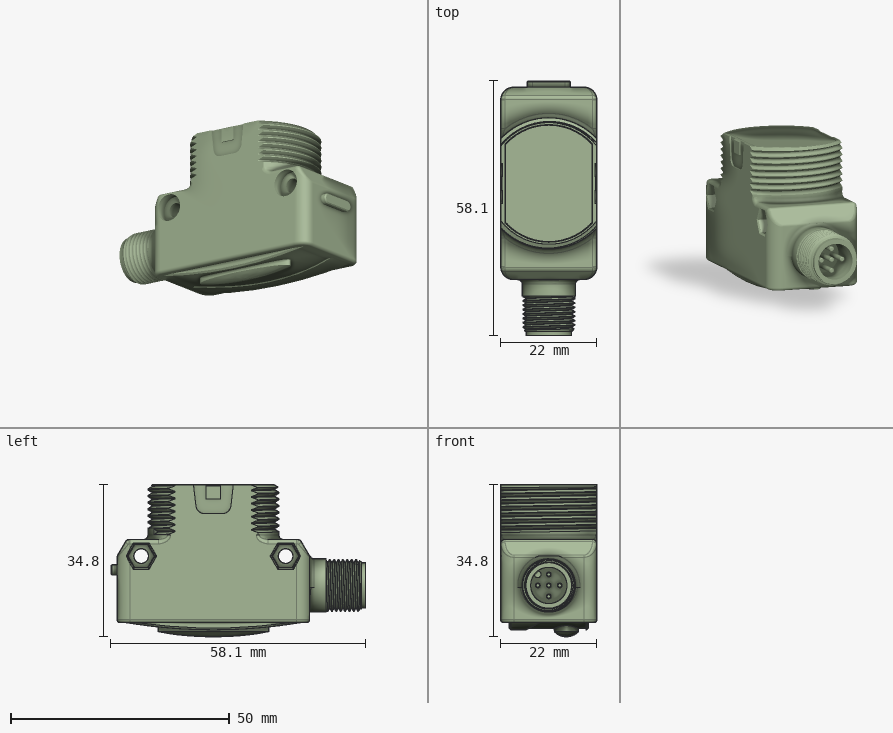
import cadquery as cq
import math


WIDTH = 22.0
LENGTH = 44.0
SHOULDER_Z = 19.0
CORNER_RADIUS = 3.0
EDGE_RADIUS = 1.0
BOTTOM_EDGE_RADIUS = 0.7
BEVEL_RUN = 2.2
BEVEL_DROP = BEVEL_RUN * math.tan(math.radians(60))

BARREL_RADIUS = 15.0
BARREL_TOP_Z = 31.5
NECK_RADIUS = 1.0
NECK_TOP_Z = SHOULDER_Z + NECK_RADIUS
BARREL_PITCH = 1.5
BARREL_THREAD_DEPTH = 0.95
BARREL_THREAD_START_Z = 20.77
BARREL_THREAD_START_ANGLE = 115.0
BARREL_CHAMFER_HEIGHT = 0.7
BARREL_CHAMFER_RUN = 1.1

MOUTH_SHARE = 0.88
ROOT_SHARE = 0.12
THREAD_CLEARANCE = 0.1

WINDOW_RADIUS = 13.45
WINDOW_WIDTH = 20.0
WINDOW_GROOVE = 0.15

RECESS_TOP_WIDTH = 9.1
RECESS_BOTTOM_WIDTH = 7.6
RECESS_HEIGHT = 6.6
RECESS_CORNER = 2.0
RECESS_DEPTH = 0.4
TAB_WIDTH = 3.3
TAB_HEIGHT = 3.3
TAB_THICKNESS = 0.35
TAB_BEVEL = 0.3

HOLE_Y = 16.5
HOLE_Z = 15.2
HOLE_DIAMETER = 3.3
NUT_MOUTH_FLATS = 6.1
NUT_FLATS = 5.5
NUT_FLOOR_FLATS = 5.2
NUT_BEVEL_DEPTH = 0.3
NUT_DEPTH = 2.5
HEAD_DEPTH = 2.5
HEAD_DIAMETER = 6.3

PLUG_Z = 8.5
PLUG_TIP_Y = -34.75
PLUG_COLLAR_RADIUS = 6.1
PLUG_COLLAR_END_Y = -25.75
PLUG_RADIUS = 5.95
PLUG_PITCH = 1.0
PLUG_THREAD_DEPTH = 0.7
PLUG_THREAD_END_Y = -33.85
PLUG_THREAD_PHASE = 0.08
PLUG_LEAD_IN_LENGTH = 0.9
PLUG_LEAD_IN_RUN = 0.6
PLUG_NOSE_RADIUS = 5.2
PLUG_FLARE = 1.0
PLUG_LOWER_FLARE = 0.55
PLUG_FLARE_BOTTOM_Z = 8.0
BORE_RADIUS = 4.15
BORE_DEPTH = 9.0
KEY_RADIUS = 0.75
KEY_OFFSET = 2.52
KEY_TIP_Y = -30.0
PIN_RADIUS = 0.55
PIN_OFFSET = 2.5
PIN_TIP_Y = -32.5
PIN_CHAMFER = 0.15

BUTTON_LENGTH = 9.9
BUTTON_HEIGHT = 2.4
BUTTON_Z = 12.05
BUTTON_END_Y = 23.38
BUTTON_EDGE = 0.25

COVER_WIDTH = 18.1
COVER_HALF_LENGTH = 20.0
COVER_SAG = 1.65
COVER_EDGE = 0.4
COVER_STEP = 0.3
COVER_RIM = 0.6
STEP_MID_X = -5.2
STEP_END_X = -2.0

LENS_X = 4.0
LENS_WIDTH = 5.56
LENS_LENGTH = 25.3
LENS_RIM_Z = -2.05
LENS_BOTTOM_Z = -3.25
DOME_SAG = LENS_RIM_Z - LENS_BOTTOM_Z
DOME_RADIUS = ((LENS_WIDTH / 2) ** 2 + DOME_SAG ** 2) / (2 * DOME_SAG)

OVERLAP = 0.5
NECK_MARGIN = 0.001


def slab(width, bottom, top):
    """Tall block centred on the barrel axis and wide along Y."""
    return cq.Workplane("XY").workplane(offset=bottom).rect(width, 2 * LENGTH).extrude(top - bottom)


def disc(radius, bottom, top):
    return cq.Workplane("XY").workplane(offset=bottom).circle(radius).extrude(top - bottom)


def thread_groove(radius, depth, pitch, length):
    """Right-handed V groove of a thread around Z, starting at angle 0 and Z = 0."""
    half_mouth = MOUTH_SHARE * pitch / 2
    half_root = ROOT_SHARE * pitch / 2
    bottom = radius - depth
    outside = radius + THREAD_CLEARANCE
    half_outside = half_mouth + (half_mouth - half_root) * THREAD_CLEARANCE / depth
    profile = (
        cq.Workplane("XZ")
        .polyline([
            (bottom, half_root),
            (outside, half_outside),
            (outside, -half_outside),
            (bottom, -half_root),
        ])
        .close()
    )
    path = cq.Wire.makeHelix(pitch, length, radius)
    return profile.sweep(cq.Workplane(obj=path), isFrenet=True)


def make_housing():
    """Bevelled box with the lower end of the barrel blended into its shoulder."""
    half = LENGTH / 2
    bevel_z = SHOULDER_Z - BEVEL_DROP
    shell = (
        cq.Workplane("YZ")
        .polyline([
            (-half, 0),
            (half, 0),
            (half, bevel_z),
            (half - BEVEL_RUN, SHOULDER_Z),
            (BEVEL_RUN - half, SHOULDER_Z),
            (-half, bevel_z),
        ])
        .close()
        .extrude(WIDTH / 2, both=True)
        .edges("|Z").fillet(CORNER_RADIUS)
    )
    neck = disc(BARREL_RADIUS, SHOULDER_Z - OVERLAP, NECK_TOP_Z + NECK_MARGIN)
    body = shell.union(neck.intersect(slab(WIDTH, 0, BARREL_TOP_Z))).clean()

    half_width = WIDTH / 2
    joint_box = cq.selectors.BoxSelector(
        (1 - half_width, -BARREL_RADIUS - 1, SHOULDER_Z - OVERLAP),
        (half_width - 1, BARREL_RADIUS + 1, SHOULDER_Z + OVERLAP),
    )
    upper_box = cq.selectors.BoxSelector(
        (-WIDTH, -LENGTH, bevel_z - OVERLAP),
        (WIDTH, LENGTH, SHOULDER_Z + OVERLAP),
    )
    body = body.edges(joint_box).fillet(NECK_RADIUS)
    body = body.edges(upper_box - joint_box).fillet(EDGE_RADIUS)
    return body.faces("<Z").edges().fillet(BOTTOM_EDGE_RADIUS)


def make_barrel():
    """Threaded barrel cut by the two flats, with its window groove and flat recesses."""
    envelope = disc(BARREL_RADIUS, NECK_TOP_Z, BARREL_TOP_Z)
    envelope = envelope.faces(">Z").chamfer(BARREL_CHAMFER_HEIGHT, BARREL_CHAMFER_RUN)

    groove_end_z = BARREL_TOP_Z + BARREL_PITCH
    blank = disc(BARREL_RADIUS, NECK_TOP_Z, groove_end_z + BARREL_PITCH)
    groove = thread_groove(
        BARREL_RADIUS, BARREL_THREAD_DEPTH, BARREL_PITCH, groove_end_z - BARREL_THREAD_START_Z,
    )
    groove = groove.rotate((0, 0, 0), (0, 0, 1), BARREL_THREAD_START_ANGLE)
    blank = blank.cut(groove.translate((0, 0, BARREL_THREAD_START_Z)))
    barrel = envelope.intersect(blank).intersect(slab(WIDTH, 0, BARREL_TOP_Z))

    recess = make_flat_recess()
    return barrel.cut(make_window_groove().union(recess).union(recess.mirror("YZ")))


def make_window_groove():
    def window(inset):
        bottom = BARREL_TOP_Z - WINDOW_GROOVE
        round_part = disc(WINDOW_RADIUS - inset, bottom, BARREL_TOP_Z)
        return round_part.intersect(slab(WINDOW_WIDTH - 2 * inset, bottom, BARREL_TOP_Z))

    return window(0).cut(window(WINDOW_GROOVE))


def make_flat_recess():
    """Tapered recess in the -X flat, open at the barrel top, with its tab left standing."""
    bottom = BARREL_TOP_Z - RECESS_HEIGHT
    recess = (
        cq.Workplane("YZ", origin=(-WIDTH / 2, 0, 0))
        .polyline([
            (-RECESS_BOTTOM_WIDTH / 2, bottom),
            (RECESS_BOTTOM_WIDTH / 2, bottom),
            (RECESS_TOP_WIDTH / 2, BARREL_TOP_Z),
            (-RECESS_TOP_WIDTH / 2, BARREL_TOP_Z),
        ])
        .close()
        .extrude(RECESS_DEPTH)
        .edges("|X and <Z").fillet(RECESS_CORNER)
    )
    tab = (
        cq.Workplane("XY", origin=(RECESS_DEPTH - WIDTH / 2, 0, BARREL_TOP_Z - TAB_HEIGHT))
        .box(TAB_THICKNESS, TAB_WIDTH, TAB_HEIGHT, centered=(False, True, False))
        .translate((-TAB_THICKNESS, 0, 0))
        .faces("<X").edges(">Z").chamfer(TAB_BEVEL)
    )
    return recess.cut(tab)


def make_mounting_hole():
    """Nut pocket, through hole and counterbore along X, centred on Y = 0 and Z = HOLE_Z."""
    corner_ratio = math.cos(math.radians(30))
    mouth = cq.Workplane("YZ", origin=(-WIDTH / 2, 0, HOLE_Z))

    def hexagonal_taper(outer_flats, inner_flats, depth):
        outer = mouth.polygon(6, outer_flats / corner_ratio)
        return outer.workplane(offset=depth).polygon(6, inner_flats / corner_ratio).loft(combine=True)

    pocket = hexagonal_taper(NUT_FLATS, NUT_FLOOR_FLATS, NUT_DEPTH)
    pocket = pocket.union(hexagonal_taper(NUT_MOUTH_FLATS, NUT_FLATS, NUT_BEVEL_DEPTH))
    hole = mouth.circle(HOLE_DIAMETER / 2).extrude(WIDTH)
    far_side = cq.Workplane("YZ", origin=(WIDTH / 2, 0, HOLE_Z))
    head = far_side.circle(HEAD_DIAMETER / 2).extrude(-HEAD_DEPTH)
    return pocket.union(hole).union(head)


def plug_rod(radius, start_y, end_y, x=0.0, z=PLUG_Z):
    """Round rod along -Y from start_y to end_y."""
    return cq.Workplane("XZ", origin=(x, start_y, z)).circle(radius).extrude(start_y - end_y)


def flare(axis_z, reach):
    """Concave flare of the plug collar onto the end face, round an axis at height axis_z."""
    face_y = -LENGTH / 2
    return (
        cq.Workplane("XY", origin=(0, 0, axis_z))
        .moveTo(0, face_y + OVERLAP)
        .lineTo(PLUG_COLLAR_RADIUS + reach, face_y + OVERLAP)
        .lineTo(PLUG_COLLAR_RADIUS + reach, face_y)
        .radiusArc((PLUG_COLLAR_RADIUS, face_y - reach), -reach)
        .lineTo(0, face_y - reach)
        .close()
        .revolve(360, (0, 0, 0), (0, 1, 0))
    )


def make_plug_flares():
    """Wide upper flare trimmed below the bevel edge, and a lower one fading out downwards."""
    upper = flare(PLUG_Z, PLUG_FLARE)
    upper = upper.intersect(slab(WIDTH, PLUG_FLARE_BOTTOM_Z, SHOULDER_Z - BEVEL_DROP))
    lower = flare(PLUG_Z + PLUG_LOWER_FLARE, PLUG_LOWER_FLARE)
    lower = lower.intersect(slab(WIDTH, 0, PLUG_FLARE_BOTTOM_Z))
    return upper.union(lower)


def make_plug():
    inside_y = OVERLAP - LENGTH / 2
    collar = plug_rod(PLUG_COLLAR_RADIUS, inside_y, PLUG_COLLAR_END_Y)
    envelope = plug_rod(PLUG_RADIUS, PLUG_COLLAR_END_Y, PLUG_THREAD_END_Y)
    envelope = envelope.faces("<Y").chamfer(PLUG_LEAD_IN_LENGTH, PLUG_LEAD_IN_RUN)

    groove_start_y = PLUG_COLLAR_END_Y - PLUG_THREAD_PHASE
    groove_end_y = PLUG_THREAD_END_Y - PLUG_PITCH
    blank = plug_rod(PLUG_RADIUS, PLUG_COLLAR_END_Y + PLUG_PITCH, groove_end_y - PLUG_PITCH)
    groove = thread_groove(PLUG_RADIUS, PLUG_THREAD_DEPTH, PLUG_PITCH, groove_start_y - groove_end_y)
    groove = groove.rotate((0, 0, 0), (1, 0, 0), 90)
    blank = blank.cut(groove.translate((0, groove_start_y, PLUG_Z)))

    bore = make_plug_bore()
    threaded = envelope.intersect(blank).cut(bore)
    nose = plug_rod(PLUG_NOSE_RADIUS, PLUG_COLLAR_END_Y, PLUG_TIP_Y)
    root = collar.union(make_plug_flares()).union(nose).cut(bore)
    return root.union(threaded)


def make_plug_bore():
    """Socket bore, less the coding key along its wall and the five pins."""
    floor_y = PLUG_TIP_Y + BORE_DEPTH
    bore = plug_rod(BORE_RADIUS, floor_y, PLUG_TIP_Y)
    bore = bore.cut(plug_rod(KEY_RADIUS, floor_y, KEY_TIP_Y, -KEY_OFFSET, PLUG_Z + KEY_OFFSET))
    for x_step, z_step in [(0, 0), (1, 0), (-1, 0), (0, 1), (0, -1)]:
        pin = plug_rod(
            PIN_RADIUS, floor_y, PIN_TIP_Y, x_step * PIN_OFFSET, PLUG_Z + z_step * PIN_OFFSET)
        bore = bore.cut(pin.faces("<Y").chamfer(PIN_CHAMFER))
    return bore


def make_button():
    start_y = LENGTH / 2 - OVERLAP
    return (
        cq.Workplane("XZ", origin=(0, start_y, BUTTON_Z))
        .slot2D(BUTTON_LENGTH, BUTTON_HEIGHT)
        .extrude(start_y - BUTTON_END_Y)
        .faces(">Y").chamfer(BUTTON_EDGE)
    )


def make_cover():
    """Arched cover with a raised rim and a shallow step, its edge bowed in plan."""
    arch = (
        cq.Workplane("YZ", origin=(-COVER_WIDTH / 2, 0, 0))
        .moveTo(-COVER_HALF_LENGTH, 0)
        .threePointArc((0, -COVER_SAG), (COVER_HALF_LENGTH, 0))
        .lineTo(COVER_HALF_LENGTH, OVERLAP)
        .lineTo(-COVER_HALF_LENGTH, OVERLAP)
        .close()
    )
    full = arch.extrude(COVER_WIDTH)
    lowered = full.translate((0, 0, COVER_STEP))
    rim_x = COVER_WIDTH / 2 - COVER_RIM
    step_area = (
        cq.Workplane("XY", origin=(0, 0, -2 * COVER_SAG))
        .moveTo(rim_x, -COVER_HALF_LENGTH)
        .lineTo(STEP_END_X, -COVER_HALF_LENGTH)
        .threePointArc((STEP_MID_X, 0), (STEP_END_X, COVER_HALF_LENGTH))
        .lineTo(rim_x, COVER_HALF_LENGTH)
        .close()
        .extrude(2 * COVER_SAG)
    )
    return full.edges("%CIRCLE").chamfer(COVER_EDGE).cut(step_area.cut(lowered))


def make_lens():
    """Elliptical lens with a domed underside: a round one stretched along Y."""
    radius = LENS_WIDTH / 2
    round_lens = (
        cq.Workplane("XZ")
        .moveTo(0, OVERLAP)
        .lineTo(radius, OVERLAP)
        .lineTo(radius, LENS_RIM_Z)
        .radiusArc((0, LENS_BOTTOM_Z), DOME_RADIUS)
        .close()
        .revolve(360, (0, 0, 0), (0, 1, 0))
    )
    stretch = cq.Matrix([
        [1, 0, 0, LENS_X],
        [0, LENS_LENGTH / LENS_WIDTH, 0, 0],
        [0, 0, 1, 0],
    ])
    return cq.Workplane(obj=round_lens.val().transformGeometry(stretch))


housing = make_housing()
for side in (-1, 1):
    housing = housing.cut(make_mounting_hole().translate((0, side * HOLE_Y, 0)))
housing = housing.union(make_button()).union(make_cover()).union(make_lens())
result = housing.union(make_plug()).union(make_barrel())